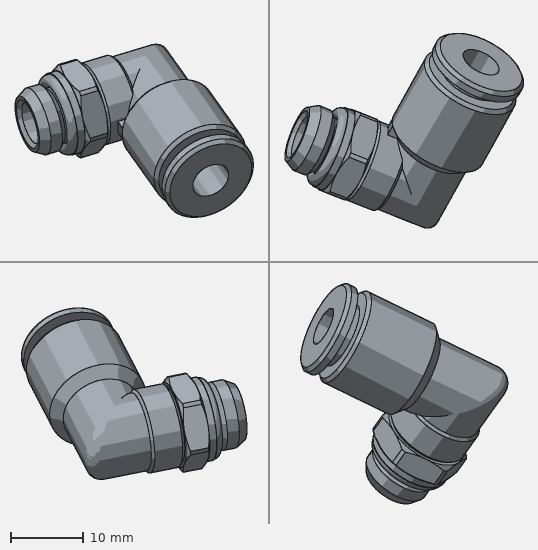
import cadquery as cq
import math


arm_radius = 5.5
corner_fillet = 1.5
bore_radius = 2.75

sleeve_radius = 7.0
sleeve_start = 6.0
sleeve_end = 18.45
sleeve_chamfer = 0.5
collar_neck_radius = 4.65
collar_flare = 0.35
collar_flange_radius = 6.75
collar_flange_start = 19.97
collar_chamfer = 0.5
outlet_end = 21.5
sleeve_cone_end = sleeve_start + sleeve_radius - arm_radius

socket_radius = 5.9
socket_start = 3.6
socket_end = 8.48
socket_end_chamfer = 0.45
socket_start_chamfer = socket_radius - arm_radius

rib_thickness = 1.98
rib_end = 6.9

hex_sides = 6
hex_across_flats = 12.0
hex_corner_radius = 6.75
hex_chamfer_angle = 30.0
hex_end = 11.95
shoulder_radius = 5.9
shoulder_end = 13.02
seal_radius = 5.75
seal_end = 14.1
thread_radius = 4.83
neck_radius = 4.0
thread_start = 14.9
thread_end = 18.0
thread_lead_length = 1.38
thread_lead_angle = 30.0
stem_bore_radius = 2.97
stem_bore_mouth_radius = 3.5


def turned_on_x(profile):
    """Revolve an outline of (position, radius) points, closed along the X axis."""
    start, end = profile[0][0], profile[-1][0]
    outline = [(start, 0), *profile, (end, 0)]
    return cq.Workplane("XY").polyline(outline).close().revolve(360, (0, 0), (1, 0))


def turned_on_y(profile):
    """Revolve an outline of (distance along -Y, radius) points, closed along the Y axis."""
    start, end = profile[0][0], profile[-1][0]
    outline = [(0, -start), *[(radius, -distance) for distance, radius in profile], (0, -end)]
    return cq.Workplane("XY").polyline(outline).close().revolve(360, (0, 0), (0, 1))


def mitred_corner(radius):
    """Outer quarter of a bend, where two equal cylinders meet on a 45 degree plane."""
    along_x = cq.Workplane("YZ").circle(radius).extrude(-radius)
    along_y = cq.Workplane("XZ").circle(radius).extrude(-radius)
    return along_x.intersect(along_y)


def bend(corner, radius, outlet_length, stem_length):
    """Join a corner to a straight arm along +X and a straight arm along -Y."""
    outlet_arm = cq.Workplane("YZ").circle(radius).extrude(outlet_length)
    stem_arm = cq.Workplane("XZ").circle(radius).extrude(stem_length)
    return corner.union(outlet_arm).union(stem_arm)


def make_bend():
    corner = mitred_corner(arm_radius)
    corner = corner.edges("%ELLIPSE").fillet(corner_fillet)
    return bend(corner, arm_radius, sleeve_start, sleeve_start)


def make_sleeve_and_collar():
    return turned_on_x([
        (sleeve_start, arm_radius),
        (sleeve_cone_end, sleeve_radius),
        (sleeve_end - sleeve_chamfer, sleeve_radius),
        (sleeve_end, sleeve_radius - sleeve_chamfer),
        (sleeve_end, collar_neck_radius),
        (collar_flange_start - collar_flare, collar_neck_radius),
        (collar_flange_start, collar_neck_radius + collar_flare),
        (collar_flange_start, collar_flange_radius),
        (outlet_end - collar_chamfer, collar_flange_radius),
        (outlet_end, collar_flange_radius - collar_chamfer),
    ])


def make_socket():
    return turned_on_y([
        (socket_start, socket_radius - socket_start_chamfer),
        (socket_start + socket_start_chamfer, socket_radius),
        (socket_end - socket_end_chamfer, socket_radius),
        (socket_end, socket_radius - socket_end_chamfer),
    ])


def make_rib():
    return cq.Workplane("XY").box(
        sleeve_cone_end, rib_end, rib_thickness, centered=(False, False, True)
    ).translate((0, -rib_end, 0))


def make_elbow_bore():
    """Mitred bore, with a 45 degree lead-in that narrows from the wider bore of the stem."""
    bore = bend(mitred_corner(bore_radius), bore_radius, outlet_end, socket_end)
    lead_in = turned_on_y([
        (socket_end - (stem_bore_radius - bore_radius), bore_radius),
        (socket_end, stem_bore_radius),
    ])
    return bore.union(lead_in)


def make_elbow():
    body = make_bend().union(make_sleeve_and_collar()).union(make_socket()).union(make_rib())
    return body.cut(make_elbow_bore())


def make_hex():
    """Hexagon with rounded corners, chamfered on both ends from the inscribed circle."""
    flat_radius = hex_across_flats / 2
    chamfer_length = (hex_corner_radius - flat_radius) * math.tan(math.radians(hex_chamfer_angle))
    chamfered_blank = turned_on_y([
        (socket_end, flat_radius),
        (socket_end + chamfer_length, hex_corner_radius),
        (hex_end - chamfer_length, hex_corner_radius),
        (hex_end, flat_radius),
    ])
    across_corners = hex_across_flats / math.cos(math.pi / hex_sides)
    prism = (
        cq.Workplane("XZ", origin=(0, -socket_end, 0))
        .polygon(hex_sides, across_corners)
        .extrude(hex_end - socket_end)
    )
    return prism.intersect(chamfered_blank)


def make_seal_collar():
    """Plain shoulder below the hexagon, followed by a sealing ring with a half-round end."""
    shoulder = turned_on_y([(hex_end, shoulder_radius), (shoulder_end, shoulder_radius)])
    round_radius = (seal_radius - neck_radius) / 2
    round_start = seal_end - round_radius
    seal = (
        cq.Workplane("XY")
        .moveTo(0, -shoulder_end)
        .lineTo(seal_radius, -shoulder_end)
        .lineTo(seal_radius, -round_start)
        .threePointArc((seal_radius - round_radius, -seal_end), (neck_radius, -round_start))
        .lineTo(0, -round_start)
        .close()
        .revolve(360, (0, 0), (0, 1))
    )
    return shoulder.union(seal)


def make_thread():
    """Neck, 45 degree rise to the thread diameter and a tapered lead at the open end."""
    lead_depth = thread_lead_length * math.tan(math.radians(thread_lead_angle))
    return turned_on_y([
        (shoulder_end, neck_radius),
        (thread_start - (thread_radius - neck_radius), neck_radius),
        (thread_start, thread_radius),
        (thread_end - thread_lead_length, thread_radius),
        (thread_end, thread_radius - lead_depth),
    ])


def make_stem_bore():
    mouth_chamfer = stem_bore_mouth_radius - stem_bore_radius
    return turned_on_y([
        (socket_end, stem_bore_radius),
        (thread_end - mouth_chamfer, stem_bore_radius),
        (thread_end, stem_bore_mouth_radius),
    ])


def make_stem():
    return make_hex().union(make_seal_collar()).union(make_thread()).cut(make_stem_bore())


elbow = make_elbow()
stem = make_stem()

result = cq.Compound.makeCompound([elbow.val(), stem.val()])